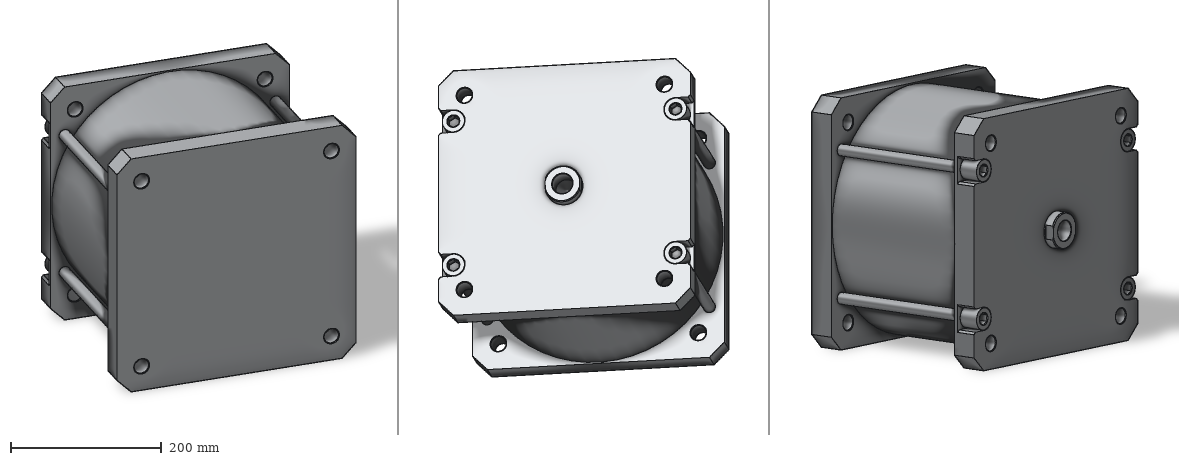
import cadquery as cq
import math


cover_side = 340.0
cover_thickness = 34.0
corner_chamfer = 20.0
mount_hole_diameter = 20.5
mount_hole_chamfer = 1.0
mount_hole_offset = 135.0

barrel_length = 212.0
barrel_diameter = 336.5
barrel_start = cover_thickness
barrel_end = barrel_start + barrel_length

bolt_offset_y = 150.0
bolt_offset_z = 100.0
bolt_diameter = 16.0
bolt_head_diameter = 30.0
bolt_head_height = 28.2
socket_across_flats = 15.0
socket_mouth_diameter = 17.5
socket_mouth_depth = (socket_mouth_diameter - socket_across_flats) / 2
socket_depth = 14.0

slot_width = 31.3
slot_depth = bolt_head_height
slot_mouth_chamfer = 3.0

rod_diameter = 50.0
rod_projection = 15.0
rod_tip_chamfer = 1.5
rod_tip = -rod_projection
rod_length = rod_projection + cover_thickness
flat_width = 46.2
flat_length = 13.0
bore_diameter = 27.5
bore_mouth_chamfer = 0.7
bore_depth = 28.0
bore_tip_angle = 120.0
bore_tip_depth = bore_diameter / 2 / math.tan(math.radians(bore_tip_angle / 2))

bolt_places = [(y * bolt_offset_y, z * bolt_offset_z) for y in (-1, 1) for z in (-1, 1)]
mount_hole_places = [(y * mount_hole_offset, z * mount_hole_offset) for y in (-1, 1) for z in (-1, 1)]


def plane_at(x):
    """Work plane facing +X whose local axes are Y and Z."""
    return cq.Workplane("YZ", origin=(x, 0, 0))


def make_cover(start):
    """Square plate with chamfered corners and a chamfered mounting hole near each corner."""
    plate = plane_at(start).rect(cover_side, cover_side).extrude(cover_thickness)
    plate = plate.edges("|X").chamfer(corner_chamfer)
    holes = plane_at(start).pushPoints(mount_hole_places).circle(mount_hole_diameter / 2)
    plate = plate.cut(holes.extrude(cover_thickness))
    return plate.edges("%CIRCLE").chamfer(mount_hole_chamfer)


def make_bolt_slot(y, z):
    """Round-ended slot, open to the nearest Y side, with a chamfered mouth."""
    outward = 1 if y > 0 else -1
    side_y = outward * cover_side / 2
    neck_y = side_y - outward * slot_mouth_chamfer
    half_width = slot_width / 2
    half_mouth = half_width + slot_mouth_chamfer
    return (
        plane_at(0)
        .moveTo(y, z + half_width)
        .lineTo(neck_y, z + half_width)
        .lineTo(side_y, z + half_mouth)
        .lineTo(side_y, z - half_mouth)
        .lineTo(neck_y, z - half_width)
        .lineTo(y, z - half_width)
        .threePointArc((y - outward * half_width, z), (y, z + half_width))
        .close()
        .extrude(slot_depth)
    )


def make_front_cover():
    """Cover with the bolt slots, the bolt shank holes and the piston rod hole."""
    cover = make_cover(0)
    for y, z in bolt_places:
        cover = cover.cut(make_bolt_slot(y, z))
    shank_holes = plane_at(0).pushPoints(bolt_places).circle(bolt_diameter / 2)
    rod_hole = plane_at(0).circle(rod_diameter / 2)
    return cover.cut(shank_holes.extrude(cover_thickness)).cut(rod_hole.extrude(cover_thickness))


def make_barrel():
    """Plain round barrel between the covers."""
    return plane_at(barrel_start).circle(barrel_diameter / 2).extrude(barrel_length)


def make_tie_bolt(y, z):
    """Hex socket head bolt, with a conical socket mouth, from the front cover's face to the rear cover."""
    head = plane_at(0).center(y, z).circle(bolt_head_diameter / 2).extrude(bolt_head_height)
    shank = plane_at(0).center(y, z).circle(bolt_diameter / 2).extrude(barrel_end)
    socket = (
        plane_at(0)
        .center(y, z)
        .polygon(6, socket_across_flats, circumscribed=True)
        .extrude(socket_depth)
    )
    mouth = (
        plane_at(0)
        .center(y, z)
        .circle(socket_mouth_diameter / 2)
        .workplane(offset=socket_mouth_depth)
        .circle(socket_across_flats / 2)
        .loft(ruled=True)
    )
    return head.union(shank).cut(socket).cut(mouth)


def make_piston_rod():
    """Rod through the front cover, with two wrench flats and a drilled bore in its tip."""
    rod = plane_at(rod_tip).circle(rod_diameter / 2).extrude(rod_length)
    rod = rod.faces("<X").chamfer(rod_tip_chamfer)
    flat_zone = plane_at(rod_tip).rect(2 * rod_diameter, 2 * rod_diameter).extrude(flat_length)
    flat_core = plane_at(rod_tip).rect(flat_width, 2 * rod_diameter).extrude(flat_length)
    bore_bottom = rod_tip + bore_depth
    bore = (
        cq.Workplane("XY")
        .moveTo(rod_tip, 0)
        .lineTo(rod_tip, bore_diameter / 2 + bore_mouth_chamfer)
        .lineTo(rod_tip + bore_mouth_chamfer, bore_diameter / 2)
        .lineTo(bore_bottom, bore_diameter / 2)
        .lineTo(bore_bottom + bore_tip_depth, 0)
        .close()
        .revolve(360, (0, 0, 0), (1, 0, 0))
    )
    return rod.cut(flat_zone.cut(flat_core)).cut(bore)


front_cover = make_front_cover()
rear_cover = make_cover(barrel_end)
barrel = make_barrel()
tie_bolts = [make_tie_bolt(y, z) for y, z in bolt_places]
piston_rod = make_piston_rod()

result = cq.Compound.makeCompound(
    [
        front_cover.val(),
        rear_cover.val(),
        barrel.val(),
        *[bolt.val() for bolt in tie_bolts],
        piston_rod.val(),
    ]
)